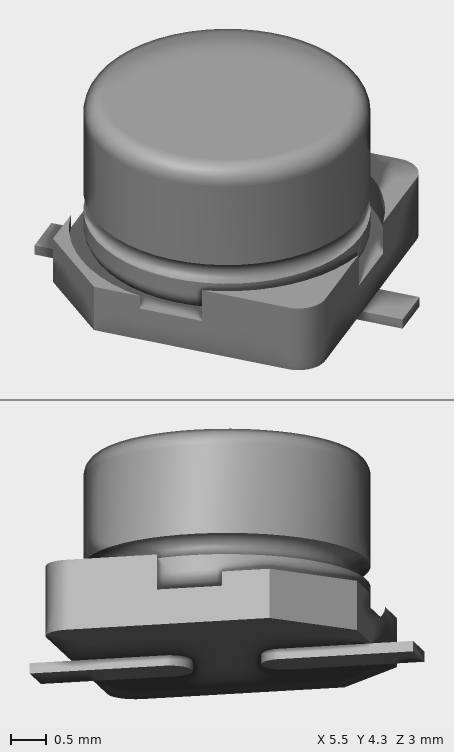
import cadquery as cq

total_length = 5.5
total_height = 3.0

terminal_width = 0.65
terminal_thickness = 0.15
terminal_gap = 1.0

base_side = 4.3
corner_chamfer = 1.0
corner_radius = 0.4
low_wall_top = 0.85
high_wall_top = 1.15
recess_diameter = 4.4
recess_floor = 0.65

can_diameter = 4.0
can_edge_radius = 0.265
groove_bottom = high_wall_top
groove_top = 1.45


def make_base():
    """Square base with two cut corners at -X, lower walls there and a round recess."""
    base = (
        cq.Workplane("XY")
        .workplane(offset=terminal_thickness)
        .rect(base_side, base_side)
        .extrude(high_wall_top - terminal_thickness)
    )
    base = base.edges("|Z and <X").chamfer(corner_chamfer)
    base = base.edges("|Z and >X").fillet(corner_radius)

    wall_step = (
        cq.Workplane("XY")
        .workplane(offset=low_wall_top)
        .center(-base_side / 2, 0)
        .rect(base_side, base_side)
        .extrude(high_wall_top - low_wall_top)
    )
    recess = (
        cq.Workplane("XY")
        .workplane(offset=recess_floor)
        .circle(recess_diameter / 2)
        .extrude(high_wall_top - recess_floor)
    )
    return base.cut(wall_step).cut(recess)


def make_can():
    """Cylindrical can with rounded ends and a half-round crimp groove."""
    can = (
        cq.Workplane("XY")
        .workplane(offset=recess_floor)
        .circle(can_diameter / 2)
        .extrude(total_height - recess_floor)
        .faces("<Z or >Z")
        .edges()
        .fillet(can_edge_radius)
    )
    groove = (
        cq.Workplane("XZ")
        .center(can_diameter / 2, (groove_bottom + groove_top) / 2)
        .circle((groove_top - groove_bottom) / 2)
        .revolve(360, (-can_diameter / 2, 0), (-can_diameter / 2, 1))
    )
    return can.cut(groove)


def make_terminal(side):
    """Flat terminal with a round inner end; side is -1 for -X and +1 for +X."""
    outer_x = side * total_length / 2
    inner_x = side * terminal_gap / 2
    half_width = terminal_width / 2
    arc_start_x = inner_x + side * half_width
    return (
        cq.Workplane("XY")
        .moveTo(outer_x, -half_width)
        .lineTo(arc_start_x, -half_width)
        .threePointArc((inner_x, 0), (arc_start_x, half_width))
        .lineTo(outer_x, half_width)
        .close()
        .extrude(terminal_thickness)
    )


result = make_base().union(make_can())
for side in (-1, 1):
    result = result.union(make_terminal(side))